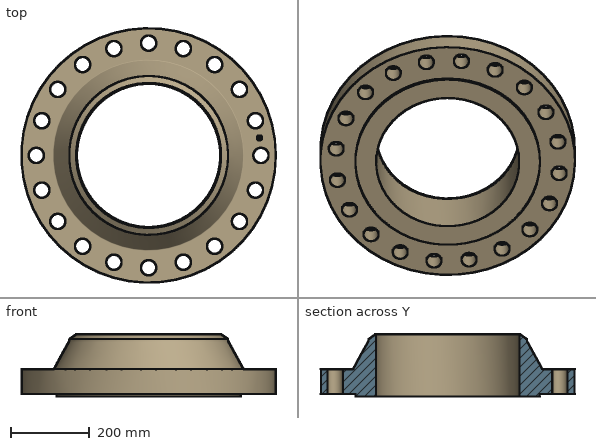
import cadquery as cq
import math

flange_diameter = 647.5
flange_thickness = 63.5
raised_face_diameter = 469.5
raised_face_height = 6.5
overall_height = 158.5
bore_diameter = 364.0

hub_base_diameter = 483.0
weld_end_diameter = 404.0
weld_land_diameter = 369.0
bevel_height = 12.0
weld_collar_height = 4.5
hub_base_fillet = 2.5
taper_top_fillet = 10.5

bolt_count = 20
bolt_circle_radius = 285.5
bolt_hole_diameter = 38.0
small_hole_diameter = 8.0
countersink_diameter = 13.0
countersink_angle = 90
small_hole_depth = 13.0

flange_bottom = raised_face_height
flange_top = flange_bottom + flange_thickness
bevel_bottom = overall_height - bevel_height
taper_top = bevel_bottom - weld_collar_height
selection_margin = 0.5


def edge_circle(diameter, z):
    """Selector for the circular edge of this diameter, centred on Z at height z."""
    reach = diameter / 2 + selection_margin
    return cq.selectors.BoxSelector(
        (-reach, -reach, z - selection_margin), (reach, reach, z + selection_margin), boundingbox=True
    )


def make_body():
    """Half section of the weld neck flange, revolved about Z, with both ends of the taper blended."""
    section = [
        (bore_diameter / 2, 0),
        (raised_face_diameter / 2, 0),
        (raised_face_diameter / 2, flange_bottom),
        (flange_diameter / 2, flange_bottom),
        (flange_diameter / 2, flange_top),
        (hub_base_diameter / 2, flange_top),
        (weld_end_diameter / 2, taper_top),
        (weld_end_diameter / 2, bevel_bottom),
        (weld_land_diameter / 2, overall_height),
        (bore_diameter / 2, overall_height),
    ]
    body = cq.Workplane("XZ").polyline(section).close().revolve(360, (0, 0, 0), (0, 1, 0))
    body = body.edges(edge_circle(hub_base_diameter, flange_top)).fillet(hub_base_fillet)
    return body.edges(edge_circle(weld_end_diameter, taper_top)).fillet(taper_top_fillet)


def cut_bolt_holes(body):
    """Through holes evenly spaced on the bolt circle, the first on +X."""
    holes = (
        cq.Workplane("XY")
        .polarArray(bolt_circle_radius, 0, 360, bolt_count)
        .circle(bolt_hole_diameter / 2)
        .extrude(flange_top)
    )
    return body.cut(holes)


def cut_small_hole(body):
    """Countersunk blind hole midway between the first two bolt holes."""
    angle = math.radians(360 / bolt_count / 2)
    return (
        body.copyWorkplane(cq.Workplane("XY", origin=(0, 0, flange_top)))
        .pushPoints([(bolt_circle_radius * math.cos(angle), bolt_circle_radius * math.sin(angle))])
        .cskHole(small_hole_diameter, countersink_diameter, countersink_angle, small_hole_depth)
    )


result = cut_small_hole(cut_bolt_holes(make_body()))